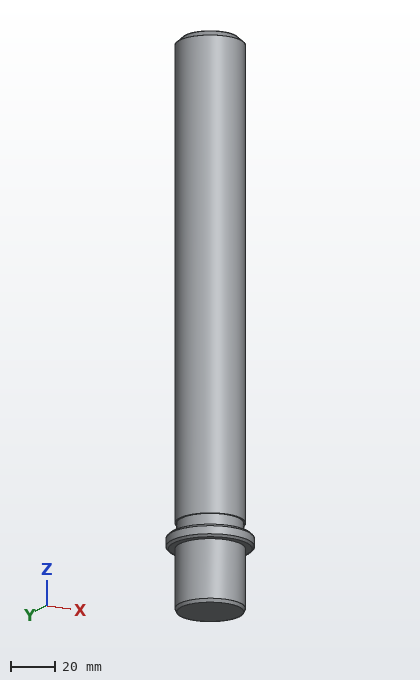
import cadquery as cq

length = 270.0
pin_radius = 16.0
flange_radius = 20.0
neck_radius = 15.0

flange_bottom = 29.7
flange_thickness = 6.0
flange_top = flange_bottom + flange_thickness
neck_height = 6.2
neck_top = flange_top + neck_height

tip_height = 3.0
tip_inset = 3.2
foot_height = 1.5
foot_inset = 0.8
flange_chamfer = 1.0

half_section = [
    (0, 0),
    (pin_radius - foot_inset, 0),
    (pin_radius, foot_height),
    (pin_radius, flange_bottom),
    (flange_radius - flange_chamfer, flange_bottom),
    (flange_radius, flange_bottom + flange_chamfer),
    (flange_radius, flange_top - flange_chamfer),
    (flange_radius - flange_chamfer, flange_top),
    (neck_radius, flange_top),
    (neck_radius, neck_top),
    (pin_radius, neck_top),
    (pin_radius, length - tip_height),
    (pin_radius - tip_inset, length),
    (0, length),
]

result = cq.Workplane("XZ").polyline(half_section).close().revolve(360, (0, 0, 0), (0, 1, 0))